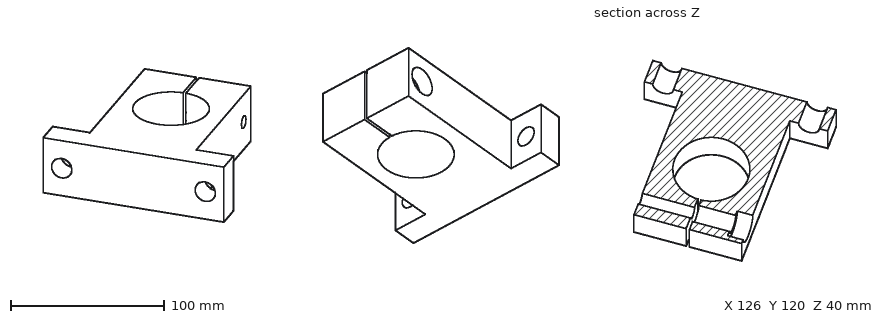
import cadquery as cq

base_width = 126.0
base_depth = 18.0
total_depth = 120.0
height = 40.0
block_width = 74.1

bore_diameter = 50.0
bore_from_base = 70.0
slot_width = 2.0

mount_hole_diameter = 14.0
mount_hole_spacing = 100.0

bolt_from_end = 13.5
bolt_head_diameter = 20.0
bolt_head_depth = 10.6
bolt_clearance_diameter = 13.0
bolt_thread_diameter = 8.5

mid_height = height / 2
bolt_y = total_depth - bolt_from_end
block_side = block_width / 2


def bolt_hole(diameter, start_x, end_x):
    """Cylinder along X on the clamp bolt axis."""
    return (
        cq.Workplane("YZ", origin=(start_x, bolt_y, mid_height))
        .circle(diameter / 2)
        .extrude(end_x - start_x)
    )


base = cq.Workplane("XY").box(base_width, base_depth, height, centered=(True, False, False))
block = cq.Workplane("XY").box(block_width, total_depth, height, centered=(True, False, False))
body = base.union(block)

bore = cq.Workplane("XY").center(0, bore_from_base).circle(bore_diameter / 2).extrude(height)
slot = (
    cq.Workplane("XY", origin=(0, bore_from_base, 0))
    .box(slot_width, total_depth - bore_from_base, height, centered=(True, False, False))
)

mount_holes = (
    cq.Workplane("XZ", origin=(0, 0, mid_height))
    .pushPoints([(-mount_hole_spacing / 2, 0), (mount_hole_spacing / 2, 0)])
    .circle(mount_hole_diameter / 2)
    .extrude(-base_depth)
)

head_recess = bolt_hole(bolt_head_diameter, -block_side, -block_side + bolt_head_depth)
clearance_hole = bolt_hole(bolt_clearance_diameter, -block_side, 0)
thread_hole = bolt_hole(bolt_thread_diameter, 0, block_side)

result = body.cut(bore).cut(slot).cut(mount_holes)
result = result.cut(head_recess).cut(clearance_hole).cut(thread_hole)